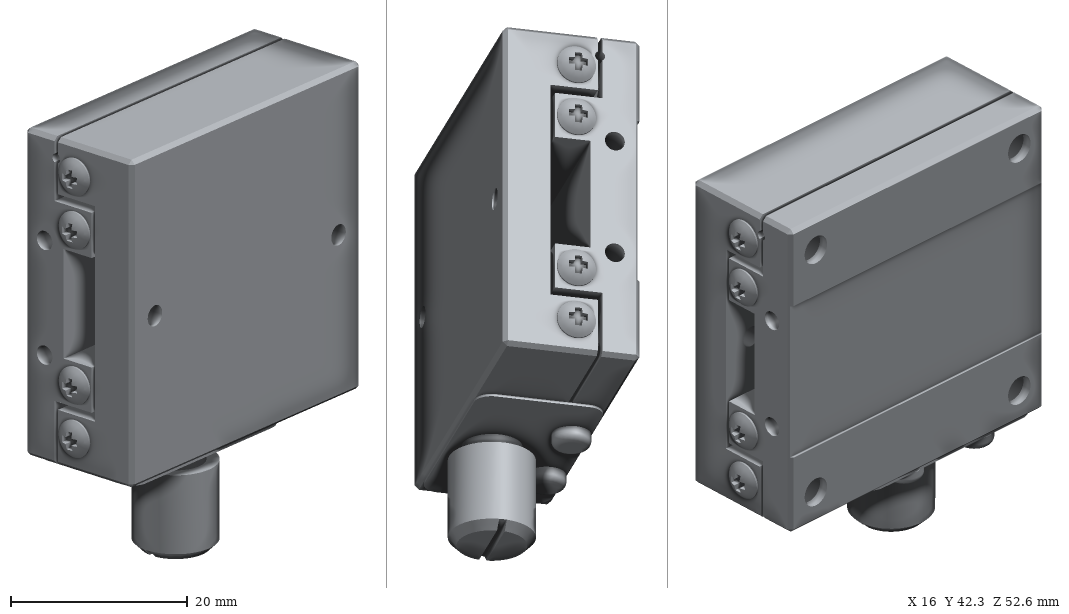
import cadquery as cq
import math

THICKNESS = 16.0
SIDE = 40.0
EDGE_CHAMFER = 0.5
FRONT_X = -THICKNESS / 2
BOTTOM_Z = -SIDE
MIDDLE_Z = BOTTOM_Z / 2
CUT_LENGTH = 2 * SIDE

GAP_FRONT = FRONT_X + 4.45
GAP_BACK = FRONT_X + 5.0
WINDOW_FRONT = FRONT_X + 5.85
BASE_RAIL_BACK = FRONT_X + 10.0
SLIDE_INNER = FRONT_X + 10.5
SLIDE_RAIL_DEPTH = 6.85
BASE_RAIL_DEPTH = 7.8
WINDOW_DEPTH = 13.3
WIRE_HOLE_DIAMETER = 1.15
WIRE_HOLE_DEPTH = 2.5

RECESS_DEPTH = 0.3
RECESS_HEIGHT = SIDE / 2
MOUNT_HOLE_DIAMETER = 3.5
MOUNT_SPACING = 32.0
MOUNT_HOLE_DEPTH = 1.15
COUNTERBORE_DIAMETER = 6.0
SLIDE_HOLE_DIAMETER = 2.5

SIDE_HOLE_DIAMETER = 2.3
SIDE_HOLE_DEPTH = 6.0
SIDE_HOLE_SPACING = 14.0
SIDE_HOLE_X = FRONT_X + 3.0
DRILL_TIP_ANGLE = 118

DOME_DIAMETER = 4.5
DOME_RIM = 0.2
DOME_HEIGHT = 1.0
DOME_X = FRONT_X + 7.5
SLIDE_SCREW_SPACING = 32.0
BASE_SCREW_SPACING = 18.95
CROSS_LENGTH = 2.2
CROSS_WIDTH = 0.85
CROSS_DEPTH = 1.0

PLATE_WIDTH = 15.0
PLATE_LENGTH = 26.0
PLATE_THICKNESS = 0.3
PLATE_CORNER = 2.0
PLATE_Y = -6.0
PLATE_BOTTOM = BOTTOM_Z - PLATE_THICKNESS
PLATE_SCREW_X = FRONT_X + 2.7
PLATE_SCREW_SPACING = 11.05
PLATE_SCREW_DIAMETER = 4.5
PLATE_SCREW_HEIGHT = 1.7
PLATE_SCREW_FILLET = 0.85

KNOB_X = FRONT_X + 10.5
KNOB_DIAMETER = 10.0
KNOB_CHAMFER = 1.0
NECK_DIAMETER = 7.0
KNOB_TOP = -42.0
KNOB_BOTTOM = -52.6
SLOT_WIDTH = 0.9
SLOT_DEPTH = 1.0


def chamfered_block():
    block = cq.Workplane("XY").box(THICKNESS, SIDE, SIDE).edges().chamfer(EDGE_CHAMFER)
    return block.translate((0, 0, MIDDLE_Z))


def prism_along_y(points):
    """Closed XZ outline extruded through the full length of the blocks."""
    return cq.Workplane("XZ").polyline(points).close().extrude(CUT_LENGTH / 2, both=True)


def mirrored_in_z(upper_points):
    """Outline points of the upper half, followed by their mirror images about the middle height."""
    lower_points = [(x, BOTTOM_Z - z) for x, z in reversed(upper_points)]
    return upper_points + lower_points


def base_envelope():
    return prism_along_y(mirrored_in_z([
        (FRONT_X, 0),
        (GAP_FRONT, 0),
        (GAP_FRONT, -BASE_RAIL_DEPTH),
        (BASE_RAIL_BACK, -BASE_RAIL_DEPTH),
        (BASE_RAIL_BACK, -WINDOW_DEPTH),
        (WINDOW_FRONT, -WINDOW_DEPTH),
    ]))


def slide_envelope():
    return prism_along_y(mirrored_in_z([
        (-FRONT_X, 0),
        (GAP_BACK, 0),
        (GAP_BACK, -SLIDE_RAIL_DEPTH),
        (SLIDE_INNER, -SLIDE_RAIL_DEPTH),
    ]))


def wire_hole():
    """Small round passage along Y that straddles the gap near the top."""
    gap_middle = (GAP_FRONT + GAP_BACK) / 2
    circle = cq.Workplane("XZ").center(gap_middle, -WIRE_HOLE_DEPTH).circle(WIRE_HOLE_DIAMETER / 2)
    return circle.extrude(CUT_LENGTH / 2, both=True)


def both_sides(tool):
    """The tool on the -Y side together with its mirror image on the +Y side."""
    return tool.union(tool.mirror("XZ"))


def drilled_hole(z):
    """Blind hole with a conical tip, drilled from the -Y side."""
    radius = SIDE_HOLE_DIAMETER / 2
    tip_height = radius / math.tan(math.radians(DRILL_TIP_ANGLE / 2))
    profile = [(0, 0), (radius, 0), (radius, SIDE_HOLE_DEPTH), (0, SIDE_HOLE_DEPTH + tip_height)]
    hole = cq.Workplane("XY").polyline(profile).close().revolve(360, (0, 0), (0, 1))
    return hole.translate((SIDE_HOLE_X, -SIDE / 2, z))


def domed_head(z):
    """Screw head with a short rim, a spherical dome and a cross recess, on the -Y side."""
    radius = DOME_DIAMETER / 2
    sphere_radius = (radius**2 + DOME_HEIGHT**2) / (2 * DOME_HEIGHT)
    middle_radius = radius / 2
    sphere_centre = sphere_radius - DOME_RIM - DOME_HEIGHT
    middle_y = sphere_centre - math.sqrt(sphere_radius**2 - middle_radius**2)
    tip_y = -DOME_RIM - DOME_HEIGHT
    head = (
        cq.Workplane("XY")
        .lineTo(radius, 0)
        .lineTo(radius, -DOME_RIM)
        .threePointArc((middle_radius, middle_y), (0, tip_y))
        .close()
        .revolve(360, (0, 0), (0, 1))
    )
    recess_plane = cq.Workplane("XZ", origin=(0, tip_y, 0))
    for width, height in ((CROSS_LENGTH, CROSS_WIDTH), (CROSS_WIDTH, CROSS_LENGTH)):
        head = head.cut(recess_plane.rect(width, height).extrude(-CROSS_DEPTH))
    return head.translate((DOME_X, -SIDE / 2, z))


def heights(spacing):
    """Two heights placed symmetrically about the middle of the blocks."""
    return (MIDDLE_Z - spacing / 2, MIDDLE_Z + spacing / 2)


def mount_bores(start_x, end_x, diameter):
    """Round bores along X at the four mounting positions of the base."""
    return (
        cq.Workplane("YZ", origin=(start_x, 0, MIDDLE_Z))
        .rect(MOUNT_SPACING, MOUNT_SPACING, forConstruction=True)
        .vertices()
        .circle(diameter / 2)
        .extrude(end_x - start_x)
    )


def make_base():
    base = chamfered_block().intersect(base_envelope()).cut(wire_hole())
    recess = cq.Workplane("XY").box(2 * RECESS_DEPTH, CUT_LENGTH, RECESS_HEIGHT)
    base = base.cut(recess.translate((FRONT_X, 0, MIDDLE_Z)))
    base = base.cut(mount_bores(FRONT_X, GAP_FRONT, MOUNT_HOLE_DIAMETER))
    base = base.cut(mount_bores(FRONT_X + MOUNT_HOLE_DEPTH, GAP_FRONT, COUNTERBORE_DIAMETER))
    for z in heights(SIDE_HOLE_SPACING):
        base = base.cut(both_sides(drilled_hole(z)))
    for z in heights(BASE_SCREW_SPACING):
        base = base.union(both_sides(domed_head(z)))
    return base


def make_slide():
    slide = chamfered_block().intersect(slide_envelope()).cut(wire_hole())
    window_holes = (
        cq.Workplane("YZ", origin=(SLIDE_INNER, 0, MIDDLE_Z))
        .pushPoints([(-MOUNT_SPACING / 2, 0), (MOUNT_SPACING / 2, 0)])
        .circle(SLIDE_HOLE_DIAMETER / 2)
        .extrude(-FRONT_X - SLIDE_INNER)
    )
    slide = slide.cut(window_holes)
    for z in heights(SLIDE_SCREW_SPACING):
        slide = slide.union(both_sides(domed_head(z)))
    return slide


def make_clamp_plate():
    plate = (
        cq.Workplane("XY", origin=(0, PLATE_Y, PLATE_BOTTOM))
        .rect(PLATE_WIDTH, PLATE_LENGTH)
        .extrude(PLATE_THICKNESS)
        .edges("|Z")
        .fillet(PLATE_CORNER)
    )
    for side in (-1, 1):
        screw_y = PLATE_Y + side * PLATE_SCREW_SPACING / 2
        head = (
            cq.Workplane("XY", origin=(PLATE_SCREW_X, screw_y, PLATE_BOTTOM))
            .circle(PLATE_SCREW_DIAMETER / 2)
            .extrude(-PLATE_SCREW_HEIGHT)
            .faces("<Z")
            .edges()
            .fillet(PLATE_SCREW_FILLET)
        )
        plate = plate.union(head)
    return plate


def make_knob():
    knob = (
        cq.Workplane("XY", origin=(KNOB_X, PLATE_Y, KNOB_BOTTOM))
        .circle(KNOB_DIAMETER / 2)
        .extrude(KNOB_TOP - KNOB_BOTTOM)
        .faces("<Z")
        .edges()
        .chamfer(KNOB_CHAMFER)
    )
    neck = (
        cq.Workplane("XY", origin=(KNOB_X, PLATE_Y, KNOB_TOP))
        .circle(NECK_DIAMETER / 2)
        .extrude(PLATE_BOTTOM - KNOB_TOP)
    )
    slot = (
        cq.Workplane("XY", origin=(KNOB_X, PLATE_Y, KNOB_BOTTOM))
        .rect(SLOT_WIDTH, KNOB_DIAMETER)
        .extrude(SLOT_DEPTH)
    )
    return knob.union(neck).cut(slot)


base = make_base()
slide = make_slide()
clamp_plate = make_clamp_plate()
knob = make_knob()

result = cq.Compound.makeCompound([base.val(), slide.val(), clamp_plate.val(), knob.val()])